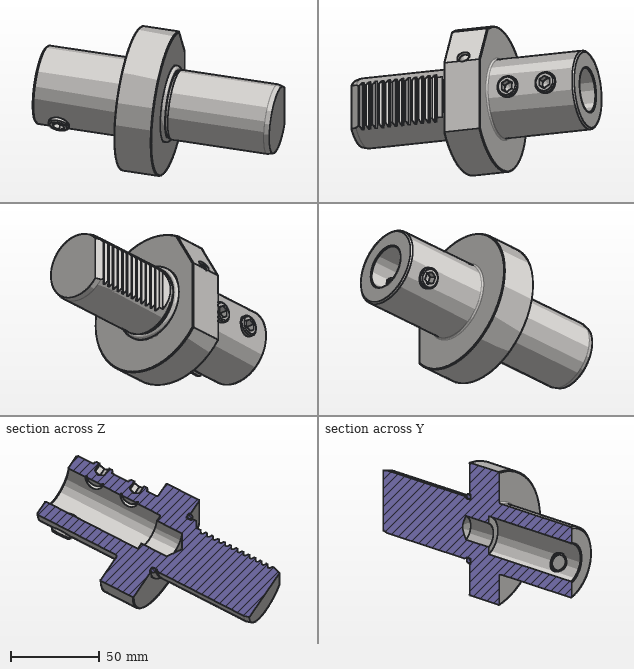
import cadquery as cq
import math


total_length = 138.0
flange_start = 53.0
flange_width = 22.0
flange_end = flange_start + flange_width

hub_radius = 45.0 / 2
hub_chamfer = 1.0
hub_root_fillet = 1.0

flange_diameter = 83.0
flange_radius = flange_diameter / 2
flange_depth = 74.0
flat_y = flange_depth - flange_radius
slant_distance = 35.6
slant_angle = 30.0
flange_chamfer = 0.5

shank_radius = 40.0 / 2
shank_taper_length = 3.2
shank_taper_drop = 0.8
neck_taper_length = 1.7
neck_taper_drop = 0.5

ring_section = 3.0
ring_outer_radius = 22.0
ring_standout = 2.2
ring_section_radius = ring_section / 2
ring_center_radius = ring_outer_radius - ring_section_radius
ring_center_x = flange_end + ring_standout - ring_section_radius
groove_start = flange_end + ring_standout - ring_section
neck_radius = ring_outer_radius - ring_section
neck_end = flange_end + ring_standout

bore_diameter = 25.0
bore_depth = 60.7
bore_chamfer = 0.5
drill_diameter = 17.0
drill_depth = 77.3
drill_point_angle = 118.0

screw_diameter = 12.0
screw_length = 11.7
screw_tip_length = 1.2
screw_tip_diameter = 8.8
screw_hole_diameter = 11.0
screw_chamfer = 0.8
screw_head_distance = 24.4
hex_across_flats = 6.2
hex_depth = 5.1
screw_places = [(17.0, 0.0), (39.9, 0.0), (15.0, 210.0)]

nozzle_diameter = 7.3
nozzle_radius = nozzle_diameter / 2
nozzle_x = flange_start + 10.6

rack_start = 80.0
rack_crest_y = 16.1
rack_root_y = 14.5
rack_entry_angle = 60.0
tooth_pitch = 4.0
tooth_count = 12
first_root_x = 86.8
root_width = 1.0
crest_width = 1.0
rack_end_length = 5.0


def radial_plane(x, angle, distance):
    """Plane at a distance from the X axis, facing outwards in the given direction."""
    y_part = math.cos(math.radians(angle))
    z_part = math.sin(math.radians(angle))
    origin = (x, distance * y_part, distance * z_part)
    return cq.Plane(origin=origin, xDir=(1, 0, 0), normal=(0, y_part, z_part))


def point_length(diameter):
    """Length of the conical end left by a drill."""
    return diameter / 2 / math.tan(math.radians(drill_point_angle / 2))


def turned(points):
    """Solid turned about the X axis from (x, radius) points."""
    return cq.Workplane("XY").polyline(points).close().revolve(360, (0, 0, 0), (1, 0, 0))


def make_hub():
    """Chamfered cylinder that flares out in a rounded corner where it meets the flange."""
    flare_start = flange_start - hub_root_fillet
    flare_radius = hub_radius + hub_root_fillet
    arc_reach = hub_root_fillet * math.sin(math.radians(45))
    return (
        cq.Workplane("XY")
        .moveTo(0, 0)
        .lineTo(0, hub_radius - hub_chamfer)
        .lineTo(hub_chamfer, hub_radius)
        .lineTo(flare_start, hub_radius)
        .threePointArc((flare_start + arc_reach, flare_radius - arc_reach), (flange_start, flare_radius))
        .lineTo(flange_start, 0)
        .close()
        .revolve(360, (0, 0, 0), (1, 0, 0))
    )


def make_flange():
    flange = cq.Workplane("YZ").workplane(offset=flange_start).circle(flange_radius).extrude(flange_width)
    cutter_size = 2 * flange_diameter
    for angle, distance in [(0.0, flat_y), (slant_angle, slant_distance)]:
        plane = radial_plane(flange_start, angle, distance)
        flange = flange.cut(cq.Workplane(plane).rect(cutter_size, cutter_size).extrude(flange_diameter))
    flange = flange.faces("<X or >X").chamfer(flange_chamfer)
    groove = (
        cq.Workplane("YZ")
        .workplane(offset=groove_start)
        .circle(ring_outer_radius)
        .extrude(flange_end - groove_start)
    )
    return flange.cut(groove).cut(make_nozzle_recess())


def make_nozzle_recess():
    """The space left around the outer half of the ball."""
    plane = radial_plane(nozzle_x, slant_angle, slant_distance - nozzle_radius)
    hole = cq.Workplane(plane).circle(nozzle_radius).extrude(nozzle_radius)
    return hole.cut(cq.Workplane(plane).sphere(nozzle_radius))


def make_shank():
    end_radius = shank_radius - shank_taper_drop
    return turned(
        [
            (groove_start, 0),
            (groove_start, neck_radius),
            (neck_end, neck_radius),
            (neck_end, shank_radius - neck_taper_drop),
            (neck_end + neck_taper_length, shank_radius),
            (total_length - shank_taper_length, shank_radius),
            (total_length, end_radius),
            (total_length, 0),
        ]
    )


def make_rack_cutter():
    """Everything removed from the +Y side of the shank to leave the teeth."""
    entry_run = (shank_radius - rack_crest_y) / math.tan(math.radians(rack_entry_angle))
    crest_half_gap = (tooth_pitch - crest_width) / 2
    outline = [(rack_start, shank_radius), (rack_start + entry_run, rack_crest_y)]
    for tooth in range(tooth_count):
        root_x = first_root_x + tooth * tooth_pitch
        outline += [
            (root_x - crest_half_gap, rack_crest_y),
            (root_x - root_width / 2, rack_root_y),
            (root_x + root_width / 2, rack_root_y),
            (root_x + crest_half_gap, rack_crest_y),
        ]
    outline += [
        (total_length - rack_end_length, rack_crest_y),
        (total_length, rack_root_y),
        (total_length, shank_radius),
    ]
    return cq.Workplane("XY").polyline(outline).close().extrude(shank_radius, both=True)


def make_bore():
    bore_radius = bore_diameter / 2
    drill_radius = drill_diameter / 2
    return turned(
        [
            (0, 0),
            (0, bore_radius + bore_chamfer),
            (bore_chamfer, bore_radius),
            (bore_depth, bore_radius),
            (bore_depth, drill_radius),
            (drill_depth, drill_radius),
            (drill_depth + point_length(drill_diameter), 0),
        ]
    )


def make_screw_hole(x, angle):
    """Radial hole from the middle of the bore outwards, wider where it takes the screw's body."""
    shoulder_distance = screw_head_distance - screw_length + screw_tip_length
    inner = cq.Workplane(radial_plane(x, angle, 0)).circle(screw_hole_diameter / 2).extrude(shoulder_distance)
    outer = (
        cq.Workplane(radial_plane(x, angle, shoulder_distance))
        .circle(screw_diameter / 2)
        .extrude(screw_head_distance - shoulder_distance)
    )
    return inner.union(outer)


def make_socket():
    """Hexagon socket going down from Z = 0, with two sides square to X and a drilled end."""
    across_corners = hex_across_flats / math.cos(math.radians(30))
    hexagon = cq.Workplane("XY").transformed(rotate=(0, 0, 90)).polygon(6, across_corners).extrude(-hex_depth)
    tip_depth = hex_depth + point_length(hex_across_flats)
    cone = (
        cq.Workplane("XZ")
        .polyline([(0, -hex_depth), (hex_across_flats / 2, -hex_depth), (0, -tip_depth)])
        .close()
        .revolve(360, (0, 0, 0), (0, 1, 0))
    )
    return hexagon.union(cone)


def make_screw(x, angle):
    """Screw with a chamfered outer end, a hexagon socket and a tapered tip, set in its place."""
    radius = screw_diameter / 2
    shoulder_z = screw_tip_length - screw_length
    outline = [
        (0, 0),
        (radius - screw_chamfer, 0),
        (radius, -screw_chamfer),
        (radius, shoulder_z),
        (screw_hole_diameter / 2, shoulder_z),
        (screw_tip_diameter / 2, -screw_length),
        (0, -screw_length),
    ]
    screw = cq.Workplane("XZ").polyline(outline).close().revolve(360, (0, 0, 0), (0, 1, 0))
    screw = screw.cut(make_socket())
    plane = radial_plane(x, angle, screw_head_distance)
    return cq.Workplane(screw.val().moved(cq.Location(plane)))


def make_holder():
    holder = make_hub().union(make_flange()).union(make_shank())
    holder = holder.cut(make_rack_cutter()).cut(make_bore())
    for x, angle in screw_places:
        holder = holder.cut(make_screw_hole(x, angle))
        holder = holder.union(make_screw(x, angle))
    return holder


def make_sealing_ring():
    section = cq.Workplane("XY").center(ring_center_x, ring_center_radius).circle(ring_section_radius)
    return section.revolve(360, (0, -ring_center_radius, 0), (1, -ring_center_radius, 0))


holder = make_holder()
sealing_ring = make_sealing_ring()
result = cq.Compound.makeCompound([holder.solids().val(), sealing_ring.solids().val()])